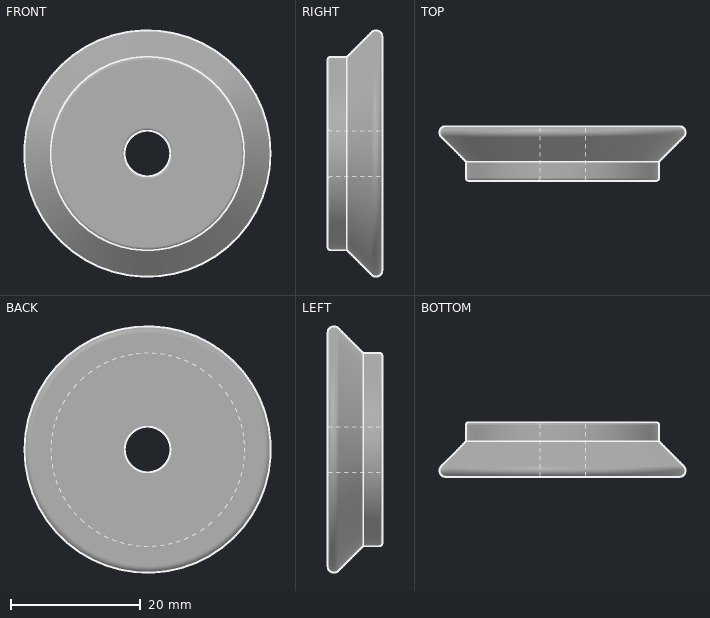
import cadquery as cq
import math

rim_diameter = 38.07
hub_diameter = 29.9
bore_diameter = 7.0
thickness = 8.5

cone_angle = 45.0

rim_round = 1.0
edge_round = 0.5

rim_radius = rim_diameter / 2
hub_radius = hub_diameter / 2
bore_radius = bore_diameter / 2

slope = math.radians(cone_angle)
arc_center_r = rim_radius - rim_round
arc_center_y = thickness - rim_round
cone_end_r = arc_center_r + rim_round * math.cos(slope)
cone_end_y = arc_center_y - rim_round * math.sin(slope)
cone_start_y = cone_end_y - (cone_end_r - hub_radius) / math.tan(slope)

half_section = (
    cq.Workplane("XY")
    .moveTo(bore_radius, 0)
    .lineTo(hub_radius, 0)
    .lineTo(hub_radius, cone_start_y)
    .lineTo(cone_end_r, cone_end_y)
    .threePointArc((rim_radius, arc_center_y), (arc_center_r, thickness))
    .lineTo(bore_radius, thickness)
    .close()
)
body = half_section.revolve(360, (0, 0, 0), (0, 1, 0))

result = body.faces("<Y").edges().fillet(edge_round)